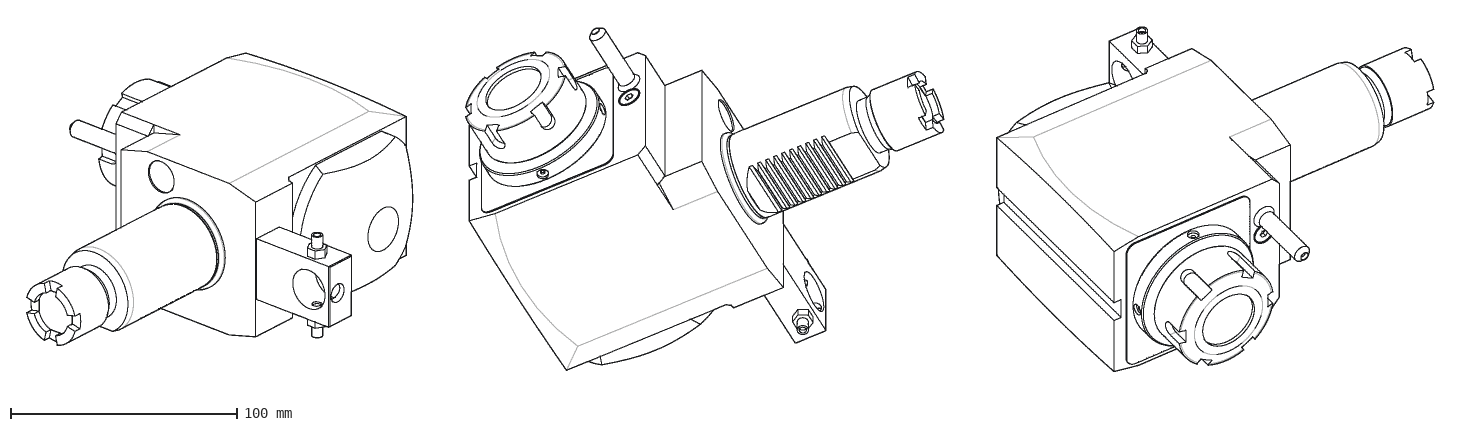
import cadquery as cq
import math


half_height = 75.0 / 2
housing_left = -58.3
housing_right = 35.6
housing_back = 106.0
housing_front = 18.3
step_y = 22.0
foot_half_width = 39.5
foot_shoulder_y = 24.9
foot_shoulder_chamfer = 1.8
front_chamfer_drop = 4.4
side_slope = math.tan(math.radians(15))
right_slope_start = 23.9
left_slope_start = -24.0

back_slope = math.tan(math.radians(11.7))
back_arc_x = -15.5
back_arc_crown_y = 101.3
back_arc_radius = 115.5

slot_half_width = 5.2
slot_depth = 3.8
seal_plate_thickness = 0.5
seal_plate_y = (34.2, 99.7)
seal_plate_half_height = 35.0
seal_plate_corner = 4.8
plug_x = -16.0
plug_z = 27.7
plug_radius = 7.5
plug_recess = 0.8

spindle_y = 67.0
nut_tip_x = -91.1
nut_edge_x = -89.2
nut_back_x = -68.7
nut_radius = 25.0
nut_tip_radius = 18.1
nut_shoulder_radius = 24.3
nut_back_chamfer = 0.8
collet_radius = 13.7
collet_recess = 1.5
neck_radius = 20.5
flange_x = -66.9
flange_radius = 59.5 / 2
flange_chamfer = 0.5
flange_gap_width = 0.5
flange_gap_radius = 28.7
nut_slot_count = 6
nut_slot_width = 6.8
nut_slot_floor = 21.7
nut_slot_long_length = 17.3
nut_slot_short_length = 12.7
long_nut_slots = (1, 2)
set_screw_x = -62.9
set_screw_count = 4
set_screw_radius = 2.5
set_screw_depth = 1.4
set_screw_socket_radius = 1.0
set_screw_socket_depth = 1.2

nozzle_y = 26.5
nozzle_z = 17.7
nozzle_radius = 4.0
nozzle_tip_x = -90.7
nozzle_tip_chamfer = 2.0
nozzle_bore_radius = 1.8
nozzle_bore_depth = 2.0
nozzle_collar_length = 2.2
nozzle_collar_radius = 5.4
side_screw_z = 7.8
side_screw_radius = 5.2
side_screw_groove = 0.4
side_screw_socket_size = 3.8
side_screw_socket_depth = 2.0

cover_cylinder_end = 41.8
cover_radius = 40.2
cover_tip_x = 56.0
cover_tip_radius = 10.3
cover_flat_y = 98.7
cover_flat_z = 31.8

shank_radius = 40.0 / 2
collar_radius = 43.2 / 2
collar_end = -2.4
collar_fillet = 1.5
groove_end = -3.5
groove_radius = 19.7
shank_taper_y = -60.0
shank_end_radius = 19.3
shank_end = -63.0
shank_flat_z = -16.3
shank_flat_end = -10.5
ramp_start = -5.5
tooth_pitch = 4.0
tooth_gap_count = 10
first_gap_y = -11.5
gap_top_width = 3.2
gap_floor_width = 1.4
gap_depth = 2.2

drive_neck_radius = 12.5
drive_neck_end = -67.9
drive_cone_radius = 14.0
drive_start = -70.8
drive_radius = 29.3 / 2
drive_notch_y = -89.5
drive_end = -93.0
drive_bore_radius = 20.0 / 2
drive_bore_floor_y = -89.7
drive_notch_count = 4
drive_notch_outer_width = 7.8
drive_notch_inner_width = 5.5

bracket_end = 82.0
bracket_y = (0.5, 16.0)
bracket_half_height = 30.0 / 2
bracket_hole_x = 70.0
bracket_hole_radius = 19.0 / 2
bracket_chamfer = 0.4
bracket_end_hole_radius = 4.4
bolt_y = 6.2
bolt_radius = 5.0 / 2
bolt_pocket_radius = 2.2
bolt_pocket_depth = 0.8
bolt_end_z = 24.9
bolt_socket_radius = 1.5
bolt_socket_depth = 2.0
bolt_nut_across_corners = 9.2
bolt_nut_top = 19.1


def box(x_range, y_range, z_range):
    """Box between pairs of limits."""
    size = [high - low for low, high in (x_range, y_range, z_range)]
    corner = (x_range[0], y_range[0], z_range[0])
    return cq.Workplane("XY").box(*size, centered=False).translate(corner)


def rod_x(start, end, radius, y, z):
    """Cylinder along X."""
    return cq.Workplane("YZ", origin=(start, y, z)).circle(radius).extrude(end - start)


def revolve_about_spindle(profile):
    """Solid of revolution about the spindle axis from (x, radius) points."""
    points = [(x, spindle_y + radius) for x, radius in profile]
    return (
        cq.Workplane("XY")
        .polyline(points)
        .close()
        .revolve(360, (0, spindle_y), (1, spindle_y))
    )


def turn_about_spindle(shape, angle):
    return shape.rotate((0, spindle_y, 0), (1, spindle_y, 0), angle)


def both_halves(tool):
    """A tool above the middle plane together with its mirror image below."""
    return tool.union(tool.mirror("XY"))


def side_slope_cutter(start_x, direction, end_y):
    """Wedge that slopes the top face down from start_x to the foot's side."""
    reach = foot_half_width - abs(start_x)
    end_x = start_x + direction * reach
    points = [
        (start_x, half_height),
        (end_x, half_height),
        (end_x, half_height - side_slope * reach),
    ]
    wedge = cq.Workplane("XZ").polyline(points).close()
    return wedge.extrude(-end_y)


def back_cone():
    """Double cone, widest in the middle plane, that leaves the sloped back."""
    middle_radius = back_arc_radius + half_height / back_slope
    profile = [
        (0, -half_height),
        (back_arc_radius, -half_height),
        (middle_radius, 0),
        (back_arc_radius, half_height),
        (0, half_height),
    ]
    cone = cq.Workplane("XZ").polyline(profile).close().revolve(360, (0, 0), (0, 1))
    return cone.translate((back_arc_x, back_arc_crown_y - back_arc_radius, 0))


def housing():
    outline = [
        (housing_left, housing_front),
        (-foot_half_width, housing_front),
        (-foot_half_width, 0),
        (foot_half_width, 0),
        (foot_half_width, foot_shoulder_y),
        (housing_right + foot_shoulder_chamfer, foot_shoulder_y),
        (housing_right, foot_shoulder_y + foot_shoulder_chamfer),
        (housing_right, housing_back),
        (housing_left, housing_back),
    ]
    body = cq.Workplane("XY").workplane(offset=-half_height).polyline(outline).close()
    body = body.extrude(2 * half_height)

    front_chamfer = (
        cq.Workplane("YZ", origin=(housing_left, 0, 0))
        .polyline([
            (housing_front, half_height),
            (step_y, half_height),
            (housing_front, half_height - front_chamfer_drop),
        ])
        .close()
        .extrude(-foot_half_width - housing_left)
    )
    cutters = [
        front_chamfer,
        side_slope_cutter(right_slope_start, 1, housing_back),
        side_slope_cutter(left_slope_start, -1, step_y),
    ]
    for cutter in cutters:
        body = body.cut(both_halves(cutter))
    body = body.intersect(back_cone())

    back_slot = box(
        (housing_left, housing_right),
        (housing_back - slot_depth, housing_back),
        (-slot_half_width, slot_half_width),
    )
    plug = (
        cq.Workplane("XZ", origin=(plug_x, 0, plug_z))
        .circle(plug_radius)
        .extrude(-plug_recess)
    )
    return body.cut(back_slot).cut(plug)


def seal_plate():
    plate = box(
        (housing_left - seal_plate_thickness, housing_left),
        seal_plate_y,
        (-seal_plate_half_height, seal_plate_half_height),
    )
    return plate.edges("|X").fillet(seal_plate_corner)


def flange():
    """Spindle flange with set screws around its rim."""
    gap_x = housing_left - seal_plate_thickness - flange_gap_width
    profile = [
        (flange_x, 0),
        (flange_x, flange_radius - flange_chamfer),
        (flange_x + flange_chamfer, flange_radius),
        (gap_x, flange_radius),
        (gap_x, flange_gap_radius),
        (housing_left, flange_gap_radius),
        (housing_left, 0),
    ]
    body = revolve_about_spindle(profile)
    screw_floor = flange_radius - set_screw_depth
    hole = (
        cq.Workplane("XY", origin=(set_screw_x, spindle_y, screw_floor))
        .circle(set_screw_radius)
        .extrude(2 * set_screw_depth)
    )
    socket = (
        cq.Workplane("XY", origin=(set_screw_x, spindle_y, screw_floor))
        .circle(set_screw_socket_radius)
        .extrude(-set_screw_socket_depth)
    )
    screw = hole.union(socket)
    for index in range(set_screw_count):
        angle = index * 360 / set_screw_count
        body = body.cut(turn_about_spindle(screw, angle))
    return body


def nut_slot(length):
    """Round-ended slot on the +Y side of the collet nut, open at its tip."""
    end_x = nut_tip_x + length
    half_width = nut_slot_width / 2
    return (
        cq.Workplane("XZ", origin=(0, spindle_y + nut_slot_floor, 0))
        .moveTo(nut_tip_x, -half_width)
        .lineTo(end_x - half_width, -half_width)
        .threePointArc((end_x, 0), (end_x - half_width, half_width))
        .lineTo(nut_tip_x, half_width)
        .close()
        .extrude(-(nut_radius - nut_slot_floor))
    )


def collet_nut():
    profile = [
        (nut_tip_x + collet_recess, 0),
        (nut_tip_x + collet_recess, collet_radius),
        (nut_tip_x, collet_radius),
        (nut_tip_x, nut_tip_radius),
        (nut_edge_x, nut_shoulder_radius),
        (nut_edge_x, nut_radius),
        (nut_back_x - nut_back_chamfer, nut_radius),
        (nut_back_x, nut_radius - nut_back_chamfer),
        (nut_back_x, neck_radius),
        (flange_x, neck_radius),
        (flange_x, 0),
    ]
    body = revolve_about_spindle(profile)
    for index in range(nut_slot_count):
        length = nut_slot_long_length if index in long_nut_slots else nut_slot_short_length
        angle = index * 360 / nut_slot_count
        body = body.cut(turn_about_spindle(nut_slot(length), angle))
    return body


def coolant_nozzle():
    nozzle = rod_x(nozzle_tip_x, housing_left, nozzle_radius, nozzle_y, nozzle_z)
    nozzle = nozzle.faces("<X").chamfer(nozzle_tip_chamfer)
    bore_end = nozzle_tip_x + nozzle_bore_depth
    bore = rod_x(nozzle_tip_x, bore_end, nozzle_bore_radius, nozzle_y, nozzle_z)
    collar_start = housing_left - nozzle_collar_length
    collar = (
        cq.Workplane("YZ", origin=(collar_start, nozzle_y, nozzle_z))
        .circle(nozzle_radius)
        .workplane(offset=nozzle_collar_length)
        .circle(nozzle_collar_radius)
        .loft()
    )
    return nozzle.cut(bore).union(collar)


def side_screw_cutter():
    """Hexagon socket and edge groove of the flush screw below the nozzle."""
    plane = cq.Workplane("YZ", origin=(housing_left, nozzle_y, side_screw_z))
    socket = plane.polygon(6, side_screw_socket_size).extrude(side_screw_socket_depth)
    groove = (
        plane.circle(side_screw_radius)
        .circle(side_screw_radius - side_screw_groove)
        .extrude(side_screw_groove)
    )
    return socket.union(groove)


def rear_cover():
    """Cone on a short cylinder, trimmed above, below and at the back."""
    body = revolve_about_spindle([
        (0, 0),
        (0, cover_radius),
        (cover_cylinder_end, cover_radius),
        (cover_tip_x, cover_tip_radius),
        (cover_tip_x, 0),
    ])
    tip_z = cover_flat_z - side_slope * (cover_tip_x - cover_cylinder_end)
    root_z = cover_flat_z + side_slope * (cover_cylinder_end - housing_right)
    envelope = (
        cq.Workplane("XZ", origin=(0, cover_flat_y, 0))
        .polyline([
            (housing_right, -root_z),
            (cover_tip_x, -tip_z),
            (cover_tip_x, tip_z),
            (housing_right, root_z),
        ])
        .close()
        .extrude(cover_flat_y - spindle_y + cover_radius)
    )
    return body.intersect(envelope)


def shank():
    """Shank and drive end, turned about the Y axis."""
    profile = [
        (0, 0),
        (groove_radius, 0),
        (groove_radius, groove_end),
        (shank_radius, groove_end),
        (shank_radius, shank_taper_y),
        (shank_end_radius, shank_end),
        (drive_neck_radius, shank_end),
        (drive_neck_radius, drive_neck_end),
        (drive_cone_radius, drive_start),
        (drive_radius, drive_start),
        (drive_radius, drive_end),
        (drive_bore_radius, drive_end),
        (drive_bore_radius, drive_bore_floor_y),
        (0, drive_bore_floor_y),
    ]
    body = cq.Workplane("XY").polyline(profile).close().revolve(360, (0, 0), (0, 1))
    inner = drive_notch_inner_width / 2
    outer = drive_notch_outer_width / 2
    bore_wall = math.sqrt(drive_bore_radius**2 - inner**2)
    notch = (
        cq.Workplane("XZ", origin=(0, drive_notch_y, 0))
        .polyline([
            (bore_wall, -inner),
            (drive_radius, -outer),
            (drive_radius, outer),
            (bore_wall, inner),
        ])
        .close()
        .extrude(drive_notch_y - drive_end)
    )
    for index in range(drive_notch_count):
        angle = index * 360 / drive_notch_count
        body = body.cut(notch.rotate((0, 0, 0), (0, 1, 0), angle))
    body = body.cut(rack_cutter())
    collar = cq.Workplane("XZ").circle(collar_radius).extrude(-collar_end)
    return body.union(collar.faces("<Y").edges().fillet(collar_fillet))


def across_shank(points):
    """Prism along X over the full shank width from (y, z) points."""
    plane = cq.Workplane("YZ", origin=(-shank_radius, 0, 0))
    return plane.polyline(points).close().extrude(2 * shank_radius)


def rack_cutter():
    """Flat below the shank with a 45 degree run-in and the rack gaps."""
    gap_floor_z = shank_flat_z + gap_depth
    ramp_rise = ramp_start - shank_flat_end
    cutter = across_shank([
        (shank_flat_end, gap_floor_z),
        (shank_flat_end - gap_floor_width, gap_floor_z),
        (shank_flat_end - gap_top_width, shank_flat_z),
        (shank_end, shank_flat_z),
        (shank_end, -shank_radius),
        (ramp_start, -shank_radius),
        (ramp_start, gap_floor_z - ramp_rise),
    ])
    for index in range(tooth_gap_count):
        gap_y = first_gap_y - index * tooth_pitch
        gap = across_shank([
            (gap_y - gap_top_width / 2, shank_flat_z),
            (gap_y - gap_floor_width / 2, gap_floor_z),
            (gap_y + gap_floor_width / 2, gap_floor_z),
            (gap_y + gap_top_width / 2, shank_flat_z),
        ])
        cutter = cutter.union(gap)
    return cutter


def clamp_bracket():
    bar = box(
        (housing_right, bracket_end),
        bracket_y,
        (-bracket_half_height, bracket_half_height),
    )
    bar = bar.faces(">X").edges().chamfer(bracket_chamfer)
    bolt_plane = cq.Workplane("XY", origin=(bracket_hole_x, bolt_y, 0))
    bolt = bolt_plane.circle(bolt_radius).extrude(bolt_end_z)
    nut = bolt_plane.polygon(6, bolt_nut_across_corners).extrude(bolt_nut_top)
    socket = (
        bolt_plane.workplane(offset=bolt_end_z - bolt_socket_depth)
        .circle(bolt_socket_radius)
        .extrude(bolt_socket_depth)
    )
    hole = (
        cq.Workplane("XZ", origin=(bracket_hole_x, 0, 0))
        .circle(bracket_hole_radius)
        .extrude(-bracket_y[1])
    )
    bar = bar.union(both_halves(bolt.union(nut).cut(socket)))
    bar = bar.cut(hole)

    end_hole = rod_x(bracket_hole_x, bracket_end, bracket_end_hole_radius, bolt_y, 0)
    pocket_top = bracket_hole_radius + bolt_pocket_depth
    bolt_pocket = bolt_plane.circle(bolt_pocket_radius).extrude(pocket_top)
    return bar.cut(end_hole).cut(both_halves(bolt_pocket))


result = housing()
result = result.cut(side_screw_cutter())
for part in (
    seal_plate(),
    flange(),
    collet_nut(),
    coolant_nozzle(),
    rear_cover(),
    shank(),
    clamp_bracket(),
):
    result = result.union(part)